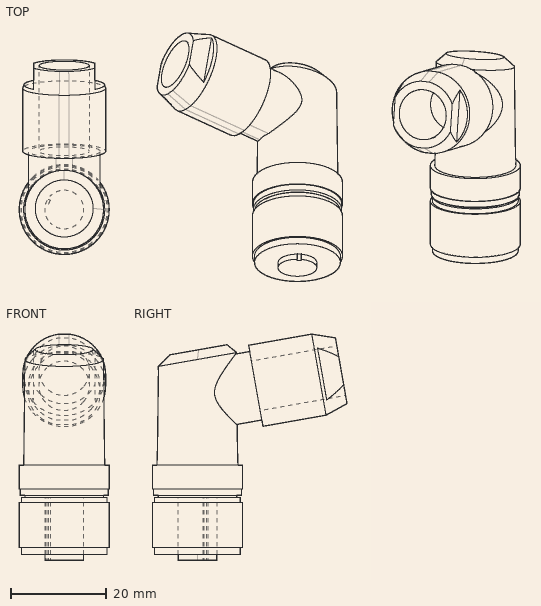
import cadquery as cq
import math

nut_radius = 9.5
nut_lip_radius = 9.05
nut_bottom = 1.2
nut_lip_height = 1.5
nut_grip_height = 9.5
nut_rim_height = 1.05
nut_grip_bottom = nut_bottom + nut_lip_height
nut_grip_top = nut_grip_bottom + nut_grip_height
nut_top = nut_grip_top + nut_rim_height

insert_radius = 4.08
keyway_width = 0.9
keyway_depth = 0.6
keyway_angle = 154.0

neck_radius = 8.3
neck_height = 0.45
step_radius = 9.3
step_height = 1.3
collar_radius = nut_radius
collar_height = 5.05
step_bottom = nut_top + neck_height
collar_bottom = step_bottom + step_height
collar_top = collar_bottom + collar_height

tilt = 10.0
column_bottom_radius = 8.55
column_top_radius = 8.27
bevel_axis_height = 42.3
bevel_rise = 2.0
cap_radius = 6.1
cap_shift = 0.58

branch_axis_height = 34.6
branch_neck_radius = 7.55
branch_neck_flat = 3.5
sleeve_start = 12.45
sleeve_radius = 8.75
sleeve_flat = 2.1
sleeve_length = 13.5
nose_length = 4.8
nose_inset = 1.65
wrench_flat_span = 12.9
wrench_shoulder = 0.7
cable_bore_radius = 5.3
cable_bore_depth = nose_length + sleeve_length
nose_start = sleeve_start + sleeve_length
branch_end = nose_start + nose_length


def disc(radius, bottom, top):
    """Upright cylinder between two heights."""
    return cq.Workplane("XY").workplane(offset=bottom).circle(radius).extrude(top - bottom)


def branch_plane(distance):
    """Plane across the branch axis: local x is X, local z runs out along the branch."""
    angle = math.radians(tilt)
    axis = cq.Vector(0, math.cos(angle), math.sin(angle))
    origin = cq.Vector(0, 0, branch_axis_height) + axis * distance
    return cq.Workplane(cq.Plane(origin=origin, xDir=(1, 0, 0), normal=axis))


def flattened_circle(plane, radius, flat_width):
    """Circle with a narrow flat on the upper and the lower side."""
    half = flat_width / 2
    height = math.sqrt(radius**2 - half**2)
    return (
        plane.moveTo(-half, height)
        .lineTo(half, height)
        .threePointArc((radius, 0), (half, -height))
        .lineTo(-half, -height)
        .threePointArc((-radius, 0), (-half, height))
        .close()
    )


def make_coupling_nut():
    nut = disc(nut_lip_radius, nut_bottom, nut_top)
    nut = nut.union(disc(nut_radius, nut_grip_bottom, nut_grip_top))
    return nut.cut(disc(insert_radius, nut_bottom, nut_top))


def make_insert():
    keyway = (
        cq.Workplane("XY")
        .center(insert_radius, 0)
        .rect(2 * keyway_depth, keyway_width)
        .extrude(nut_top)
        .rotate((0, 0, 0), (0, 0, 1), keyway_angle)
    )
    return disc(insert_radius, 0, nut_top).cut(keyway)


def make_collar():
    collar = disc(neck_radius, nut_top, step_bottom)
    collar = collar.union(disc(step_radius, step_bottom, collar_bottom))
    return collar.union(disc(collar_radius, collar_bottom, collar_top))


def make_column():
    """Cone trimmed by a plane parallel to the branch axis, capped by a ruled bevel."""
    taper = (column_bottom_radius - column_top_radius) / (bevel_axis_height - collar_top)
    spare_height = column_bottom_radius
    cone = (
        cq.Workplane("XY")
        .workplane(offset=collar_top)
        .circle(column_bottom_radius)
        .extrude(bevel_axis_height + spare_height - collar_top, taper=math.degrees(math.atan(taper)))
    )
    trim_size = 4 * column_bottom_radius
    trim = (
        cq.Workplane("XY")
        .box(trim_size, trim_size, trim_size, centered=(True, True, False))
        .rotate((0, 0, 0), (1, 0, 0), tilt)
        .translate((0, 0, bevel_axis_height))
    )
    trunk = cone.cut(trim)
    angle = math.radians(tilt)
    uphill = cq.Vector(0, math.cos(angle), math.sin(angle))
    upward = cq.Vector(0, -math.sin(angle), math.cos(angle))
    cap_centre = cq.Vector(0, 0, bevel_axis_height) + upward * bevel_rise + uphill * cap_shift
    cap_edge = cq.Wire.makeCircle(cap_radius, cap_centre, upward)
    bevel_edge = trunk.faces(">Z").wires().val()
    bevel = cq.Solid.makeLoft([bevel_edge, cap_edge], True)
    return trunk.union(cq.Workplane(bevel))


def make_wrench_cutter():
    """Blocks that leave two parallel flats on the nose, facing -X and +X."""
    shoulder = nose_start + wrench_shoulder
    cutter_offset = (wrench_flat_span + sleeve_radius) / 2
    return (
        branch_plane(shoulder)
        .pushPoints([(-cutter_offset, 0), (cutter_offset, 0)])
        .rect(sleeve_radius, 2 * sleeve_radius)
        .extrude(branch_end - shoulder)
    )


def make_branch():
    nose_taper = math.degrees(math.atan(nose_inset / nose_length))
    neck = flattened_circle(branch_plane(0), branch_neck_radius, branch_neck_flat).extrude(sleeve_start)
    sleeve = flattened_circle(branch_plane(sleeve_start), sleeve_radius, sleeve_flat).extrude(sleeve_length)
    nose = flattened_circle(branch_plane(nose_start), sleeve_radius, sleeve_flat).extrude(
        nose_length, taper=nose_taper
    )
    bore = branch_plane(branch_end).circle(cable_bore_radius).extrude(-cable_bore_depth)
    return neck.union(sleeve).union(nose.cut(make_wrench_cutter())).cut(bore)


def make_housing():
    return make_insert().union(make_collar()).union(make_column()).union(make_branch())


coupling_nut = make_coupling_nut()
housing = make_housing()
result = cq.Compound.makeCompound([coupling_nut.val(), housing.val()])